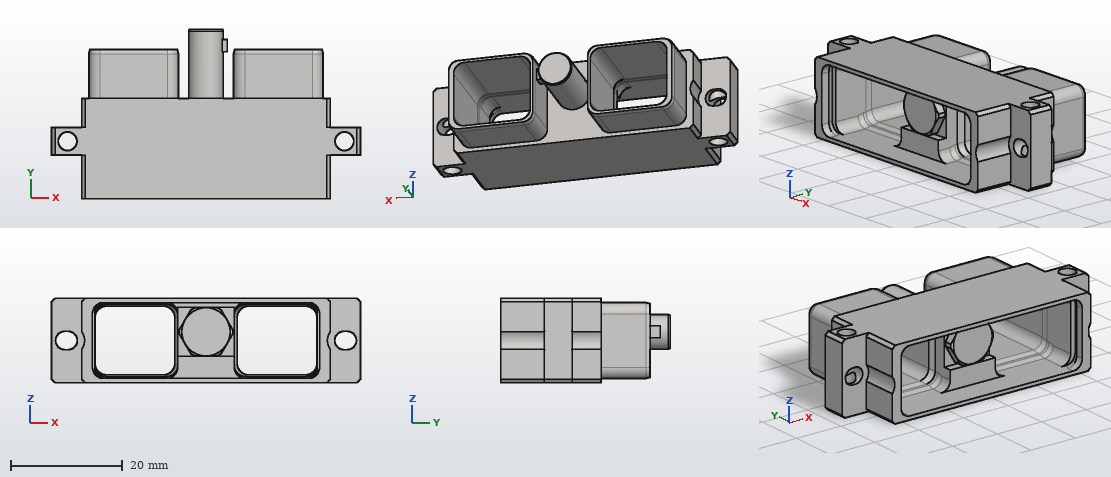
import cadquery as cq
import math


BODY_LENGTH = 44.6
BODY_DEPTH = 18.0
HEIGHT = 15.16
EDGE_CHAMFER = 0.65
EAR_SPAN = 55.4
EAR_FRONT = 7.8
EAR_THICKNESS = 5.0
GROOVE_WIDTH = 3.2
GROOVE_DEPTH = 0.55

EAR_SLOT_OFFSET = 25.0
EAR_SLOT_LENGTH = 3.85
EAR_SLOT_WIDTH = 3.25
EAR_HOLE_OFFSET = 24.8
EAR_HOLE_DIAMETER = 3.3

TUBE_INNER_X = 4.92
TUBE_OUTER_X = 21.0
TUBE_HEIGHT = 13.65
TUBE_END = 26.75
TUBE_END_TAPER_LENGTH = 0.75
TUBE_END_TAPER_INSET = 0.2
CORNER_RADIUS = 2.0

WALL = 0.8
MOUTH_LENGTH = 40.7
MOUTH_END = 1.65
LEDGE_Y = 2.95
LEDGE_UNDERCUT = 0.6
PARTITION_FRONT = 5.6
BORE_INNER_X = 5.06
BORE_OUTER_X = 19.97
BORE_STEP = 0.33
STEP_ANGLE = 15.0
STEP_RUN = BORE_STEP / math.tan(math.radians(STEP_ANGLE))
FIRST_STEP_START = 8.2
SECOND_STEP_START = 10.1
EXIT_INNER_X = 5.6
EXIT_OUTER_X = 19.87

MOUTH_HEIGHT = HEIGHT - 2 * WALL
MOUTH_OUTER_X = MOUTH_LENGTH / 2
LEDGE_OUTER_X = MOUTH_OUTER_X + LEDGE_UNDERCUT
BORE_MID_HEIGHT = MOUTH_HEIGHT - 2 * BORE_STEP
EXIT_HEIGHT = MOUTH_HEIGHT - 4 * BORE_STEP

SCREW_Z = 1.55
HEX_ACROSS_FLATS = 8.65
HEX_CORNER_DIAMETER = 9.55
HEX_CHAMFER_ANGLE = 30.0
HEX_TURN = 30.0
RECESS_DEPTH = 1.8
RECESS_HEIGHT = 8.8
PIN_DIAMETER = 6.24
PIN_END = 30.37
PIN_TAPER_LENGTH = 0.35
PIN_TAPER_INSET = 0.15

KEY_REACH = 3.85
KEY_FRONT = 26.3
KEY_LENGTH = 2.25
KEY_THICKNESS = 2.1


def box_between(x_range, y_range, z_range):
    """Box given by its lower and upper limit along each axis."""
    size = [high - low for low, high in (x_range, y_range, z_range)]
    corner = (x_range[0], y_range[0], z_range[0])
    return cq.Workplane("XY").box(*size, centered=False).translate(corner)


def xz_plane(y, x=0.0, z=0.0):
    """Workplane at depth y whose normal points toward +Y; local x is -X, local y is Z."""
    return cq.Workplane(cq.Plane(origin=(x, y, z), xDir=(-1, 0, 0), normal=(0, 1, 0)))


def rounded_sketch(x_range, height):
    """Rounded rectangle, centred on its own origin."""
    return cq.Sketch().rect(x_range[1] - x_range[0], height).vertices().fillet(CORNER_RADIUS)


def rounded_prism(x_range, height, y_start, y_end):
    """Straight rounded-rectangle prism along Y."""
    base = xz_plane(y_start, sum(x_range) / 2)
    return base.placeSketch(rounded_sketch(x_range, height)).extrude(y_end - y_start)


def rounded_transition(x_start, height_start, x_end, height_end, y_start, run):
    """Sloped stretch of length run along Y from one rounded rectangle to another."""
    shift = sum(x_start) / 2 - sum(x_end) / 2
    start = rounded_sketch(x_start, height_start)
    end = rounded_sketch(x_end, height_end).moved(cq.Location(cq.Vector(shift, 0, run)))
    return xz_plane(y_start, sum(x_start) / 2).placeSketch(start, end).loft(ruled=True)


def on_both_sides(shape):
    """The shape together with its mirror image across X = 0."""
    return shape.union(shape.mirror("YZ"))


def make_block():
    """Chamfered housing block with side grooves and an ear at each end."""
    ear_range = (EAR_FRONT, EAR_FRONT + EAR_THICKNESS)
    half_height = HEIGHT / 2
    body = xz_plane(0).rect(BODY_LENGTH, HEIGHT).extrude(BODY_DEPTH)
    body = body.edges("|Y").chamfer(EDGE_CHAMFER)
    side = BODY_LENGTH / 2
    groove = (
        cq.Workplane("XZ")
        .moveTo(side, -GROOVE_WIDTH / 2)
        .threePointArc((side - GROOVE_DEPTH, 0), (side, GROOVE_WIDTH / 2))
        .close()
        .extrude(-BODY_DEPTH)
    )
    ears = box_between((-EAR_SPAN / 2, EAR_SPAN / 2), ear_range, (-half_height, half_height))
    ears = ears.edges("|Y").chamfer(EDGE_CHAMFER)
    return body.cut(on_both_sides(groove)).union(ears)


def make_ear_holes():
    """Slot along Y and crossing round hole along Z, in each ear."""
    ear_middle = EAR_FRONT + EAR_THICKNESS / 2
    slot = (
        xz_plane(EAR_FRONT, EAR_SLOT_OFFSET)
        .slot2D(EAR_SLOT_LENGTH, EAR_SLOT_WIDTH)
        .extrude(EAR_THICKNESS)
    )
    hole = (
        cq.Workplane("XY", origin=(EAR_HOLE_OFFSET, ear_middle, -HEIGHT / 2))
        .circle(EAR_HOLE_DIAMETER / 2)
        .extrude(HEIGHT)
    )
    return on_both_sides(slot.union(hole))


def make_tubes():
    """Pair of rectangular tubes behind the block, tapered at their rear ends."""
    tube = rounded_prism((TUBE_INNER_X, TUBE_OUTER_X), TUBE_HEIGHT, BODY_DEPTH, TUBE_END)
    tube = tube.faces(">Y").chamfer(TUBE_END_TAPER_LENGTH, TUBE_END_TAPER_INSET)
    return on_both_sides(tube)


def make_cavity():
    """Mouth, undercut ends, front chamber and the two stepped bores that run out through the tubes."""
    mouth_x = (-MOUTH_OUTER_X, MOUTH_OUTER_X)
    ledge_x = (-LEDGE_OUTER_X, LEDGE_OUTER_X)
    chamber_x = (-BORE_OUTER_X, BORE_OUTER_X)
    bore_x = (BORE_INNER_X, BORE_OUTER_X)
    exit_x = (EXIT_INNER_X, EXIT_OUTER_X)
    first_step_end = FIRST_STEP_START + STEP_RUN
    second_step_end = SECOND_STEP_START + STEP_RUN

    mouth = rounded_prism(mouth_x, MOUTH_HEIGHT, 0, MOUTH_END)
    flare_run = LEDGE_Y - MOUTH_END
    flare = rounded_transition(mouth_x, MOUTH_HEIGHT, ledge_x, MOUTH_HEIGHT, MOUTH_END, flare_run)
    chamber = rounded_prism(chamber_x, MOUTH_HEIGHT, LEDGE_Y, PARTITION_FRONT)

    bore = rounded_prism(bore_x, MOUTH_HEIGHT, PARTITION_FRONT, FIRST_STEP_START)
    bore = bore.union(
        rounded_transition(bore_x, MOUTH_HEIGHT, bore_x, BORE_MID_HEIGHT, FIRST_STEP_START, STEP_RUN)
    )
    bore = bore.union(rounded_prism(bore_x, BORE_MID_HEIGHT, first_step_end, SECOND_STEP_START))
    bore = bore.union(
        rounded_transition(bore_x, BORE_MID_HEIGHT, exit_x, EXIT_HEIGHT, SECOND_STEP_START, STEP_RUN)
    )
    bore = bore.union(rounded_prism(exit_x, EXIT_HEIGHT, second_step_end, TUBE_END))
    return mouth.union(flare).union(chamber).union(on_both_sides(bore))


def make_head_recess():
    """Slot across the front of the partition that holds the hex head."""
    return box_between(
        (-BORE_INNER_X, BORE_INNER_X),
        (PARTITION_FRONT, PARTITION_FRONT + RECESS_DEPTH),
        (SCREW_Z - RECESS_HEIGHT / 2, SCREW_Z + RECESS_HEIGHT / 2),
    )


def make_hex_head():
    """Hex head flush with the partition, its corners turned down and chamfered."""
    corner_radius = HEX_CORNER_DIAMETER / 2
    inset = (HEX_CORNER_DIAMETER - HEX_ACROSS_FLATS) / 2
    chamfer_height = inset * math.tan(math.radians(HEX_CHAMFER_ANGLE))
    base = xz_plane(PARTITION_FRONT, z=SCREW_Z)
    hexagon = base.transformed(rotate=(0, 0, HEX_TURN)).polygon(6, HEX_ACROSS_FLATS, circumscribed=True)
    hexagon = hexagon.extrude(RECESS_DEPTH)
    turned = base.circle(corner_radius).extrude(RECESS_DEPTH)
    turned = turned.faces("<Y").chamfer(chamfer_height, inset)
    return hexagon.intersect(turned)


def make_pin():
    """Round pin at the rear of the block with a key on its +X side."""
    pin = xz_plane(BODY_DEPTH, z=SCREW_Z).circle(PIN_DIAMETER / 2).extrude(PIN_END - BODY_DEPTH)
    pin = pin.faces(">Y").chamfer(PIN_TAPER_LENGTH, PIN_TAPER_INSET)
    key = box_between(
        (0, KEY_REACH),
        (KEY_FRONT, KEY_FRONT + KEY_LENGTH),
        (SCREW_Z - KEY_THICKNESS / 2, SCREW_Z + KEY_THICKNESS / 2),
    )
    return pin.union(key)


housing = make_block().cut(make_ear_holes()).union(make_tubes())
housing = housing.cut(make_cavity()).cut(make_head_recess())
result = housing.union(make_hex_head()).union(make_pin())